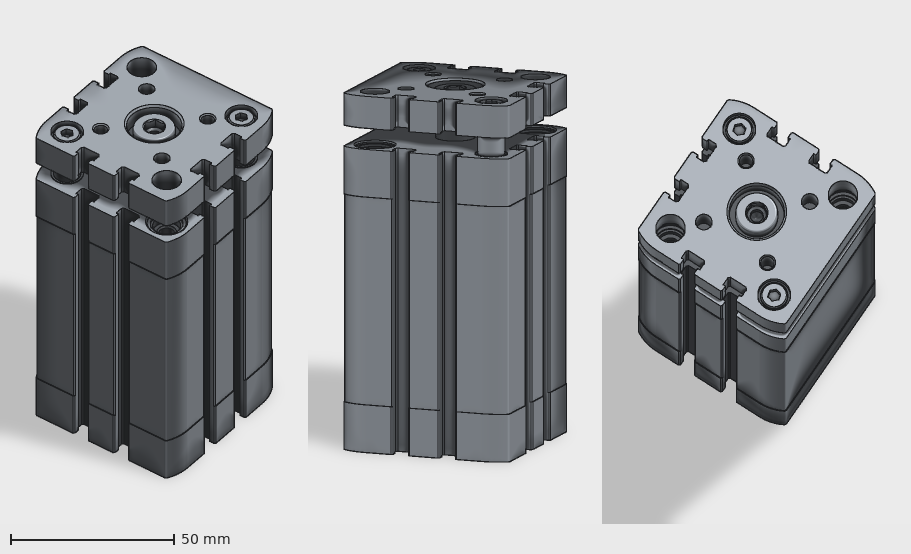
import cadquery as cq
import math

TOTAL_HEIGHT = 111.6
SIDE = 54.5
HALF = SIDE / 2
PLATE_THICKNESS = 10.0
BARREL_HEIGHT = 95.0
CAP_HEIGHT = 15.0
PLATE_BOTTOM = TOTAL_HEIGHT - PLATE_THICKNESS
MIDDLE_INSET = 0.2

BOW_START = 19.1
BOW_RADIUS = 15.4
CORNER_FILLET = 1.0

SLOT_OFFSET = 7.7
SLOT_MOUTH_WIDTH = 5.1
SLOT_INNER_WIDTH = 6.8
SLOT_LIP_DEPTH = 2.1
SLOT_DEPTH = 5.4
SLOT_MOUTH_CHAMFER = 0.5
SLOT_FLOOR_CHAMFER = 0.6
SLOT_SIDE_ANGLES = (0, 90, -90)

CORNER_PITCH = 19.1
ROD_CENTRES = [(CORNER_PITCH, CORNER_PITCH), (-CORNER_PITCH, -CORNER_PITCH)]
MOUNT_CENTRES = [(-CORNER_PITCH, CORNER_PITCH), (CORNER_PITCH, -CORNER_PITCH)]
ROD_DIAMETER = 8.4
ROD_CHAMFER = 0.5
ROD_RECESS_DIAMETER = 10.0
ROD_RECESS_DEPTH = 2.2
ROD_END_DROP = 0.6
ROD_SOCKET_CORNERS = 4.0
ROD_SOCKET_DEPTH = 2.2
ROD_SOCKET_ANGLE = -45
SEAL_DIAMETER = 10.0
SEAL_DEPTH = 0.2
ROD_INSERTION = CAP_HEIGHT

PISTON_ROD_DIAMETER = 12.0
FLATS_WIDTH = 10.0
FLATS_BOTTOM = 97.1
ROD_HEAD_DIAMETER = 13.0
ROD_HEAD_FILLET = 0.7
ROD_HEAD_DROP = 1.1
CENTRE_BORE_DIAMETER = 17.0
CENTRE_BORE_DEPTH = 5.6
CENTRE_BORE_CHAMFER = 0.7
SOCKET_CORNERS = 6.9
SOCKET_DEPTH = 2.9
SOCKET_DRILL_DIAMETER = 4.0
SOCKET_DRILL_DEPTH = 2.2
DRILL_HALF_ANGLE = 60

PLATE_ACCESS_DIAMETER = 9.0
SMALL_PITCH = 11.7
DOWEL_CENTRES = [(-SMALL_PITCH, SMALL_PITCH), (SMALL_PITCH, -SMALL_PITCH)]
THREAD_CENTRES = [(SMALL_PITCH, SMALL_PITCH), (-SMALL_PITCH, -SMALL_PITCH)]
DOWEL_DIAMETER = 5.0
THREAD_DIAMETER = 4.1
THREAD_MOUTH_DIAMETER = 5.0

MOUNT_RECESS_DIAMETER = 12.0
MOUNT_RECESS_DEPTH = 0.9
MOUNT_RECESS_CHAMFER = 0.5
MOUNT_STEP_DIAMETER = 10.0
MOUNT_STEP_DEPTH = 1.7
MOUNT_HEAD_DIAMETER = 8.6
MOUNT_HEAD_DEPTH = 4.2
MOUNT_HOLE_DIAMETER = 4.9
MOUNT_HOLE_CHAMFER = 0.6


def cylinder(diameter, bottom, top, centres):
    """Equal upright cylinders between two heights."""
    return (
        cq.Workplane("XY", origin=(0, 0, bottom))
        .pushPoints(centres)
        .circle(diameter / 2)
        .extrude(top - bottom)
    )


def cone(centre, bottom, bottom_radius, top, top_radius):
    """Upright cone or truncated cone."""
    x, y = centre
    return cq.Workplane(
        cq.Solid.makeCone(bottom_radius, top_radius, top - bottom, cq.Vector(x, y, bottom))
    )


def mouth_chamfer(centre, diameter, size, top):
    """Cutter for a 45 degree chamfer at the upper mouth of a hole."""
    radius = diameter / 2
    return cone(centre, top - size, radius, top, radius + size)


def hex_prism(corners, bottom, top, centre, angle):
    """Upright hexagonal prism, sized across its corners."""
    return (
        cq.Workplane("XY", origin=(*centre, bottom))
        .transformed(rotate=(0, 0, angle))
        .polygon(6, corners)
        .extrude(top - bottom)
    )


def outline_block(bottom, top):
    """Prism of the bowed square outline without slots."""
    centre_x = HALF - BOW_RADIUS
    corner_x = centre_x + math.sqrt(BOW_RADIUS**2 - (HALF - BOW_START) ** 2)
    mid_angle = math.asin((HALF - BOW_START) / BOW_RADIUS) / 2
    mid_x = centre_x + BOW_RADIUS * math.cos(mid_angle)
    mid_y = BOW_START + BOW_RADIUS * math.sin(mid_angle)
    return (
        cq.Workplane("XY", origin=(0, 0, bottom))
        .moveTo(HALF, -BOW_START)
        .lineTo(HALF, BOW_START)
        .threePointArc((mid_x, mid_y), (corner_x, HALF))
        .lineTo(-corner_x, HALF)
        .threePointArc((-mid_x, mid_y), (-HALF, BOW_START))
        .lineTo(-HALF, -BOW_START)
        .threePointArc((-mid_x, -mid_y), (-corner_x, -HALF))
        .lineTo(corner_x, -HALF)
        .threePointArc((mid_x, -mid_y), (HALF, -BOW_START))
        .close()
        .extrude(top - bottom)
        .edges("|Z and (>Y or <Y)")
        .fillet(CORNER_FILLET)
    )


def slot_cutter(bottom, top, surface):
    """T-slots of all slotted sides, with mouth chamfers on a surface at this distance from the axis."""
    mouth = SLOT_MOUTH_WIDTH / 2
    inner = SLOT_INNER_WIDTH / 2
    flare = mouth + SLOT_MOUTH_CHAMFER
    half_profile = [
        (flare, -surface),
        (mouth, -surface + SLOT_MOUTH_CHAMFER),
        (mouth, -HALF + SLOT_LIP_DEPTH),
        (inner, -HALF + SLOT_LIP_DEPTH),
        (inner, -HALF + SLOT_DEPTH - SLOT_FLOOR_CHAMFER),
        (inner - SLOT_FLOOR_CHAMFER, -HALF + SLOT_DEPTH),
    ]
    profile = half_profile + [(-x, y) for x, y in reversed(half_profile)]
    slot = cq.Workplane("XY", origin=(0, 0, bottom)).polyline(profile).close().extrude(top - bottom)
    pair = slot.translate((SLOT_OFFSET, 0, 0)).union(slot.translate((-SLOT_OFFSET, 0, 0)))
    cutter = cq.Workplane("XY")
    for angle in SLOT_SIDE_ANGLES:
        cutter = cutter.union(pair.rotate((0, 0, 0), (0, 0, 1), angle))
    return cutter


def slotted_block(bottom, top):
    """Full-size slotted prism, as used for the plate and the end caps."""
    return outline_block(bottom, top).cut(slot_cutter(bottom, top, HALF))


def slotted_tube(bottom, top):
    """Slotted prism set in from the full-size outline; its slots keep their depth from the axis."""
    outline = outline_block(bottom, top).faces("<Z").wires().val()
    tube = (
        cq.Workplane("XY", origin=(0, 0, bottom))
        .add(outline)
        .toPending()
        .offset2D(-MIDDLE_INSET)
        .extrude(top - bottom)
    )
    return tube.cut(slot_cutter(bottom, top, HALF - MIDDLE_INSET))


def piston_rod():
    """Central rod with two wrench flats, from inside the barrel up into the plate."""
    rod = cylinder(PISTON_ROD_DIAMETER, BARREL_HEIGHT - ROD_INSERTION, PLATE_BOTTOM, [(0, 0)])
    flats = (
        cq.Workplane("XY", origin=(0, 0, FLATS_BOTTOM))
        .rect(PISTON_ROD_DIAMETER, PISTON_ROD_DIAMETER)
        .rect(PISTON_ROD_DIAMETER, FLATS_WIDTH)
        .extrude(PLATE_BOTTOM - FLATS_BOTTOM)
    )
    return rod.cut(flats)


def cut_centre_socket(body, head_top):
    """Hexagon socket with a drilled, cone-bottomed hole in the rod head."""
    slope = math.tan(math.radians(DRILL_HALF_ANGLE))
    inscribed_radius = SOCKET_CORNERS / 2 * math.cos(math.radians(30))
    drill_radius = SOCKET_DRILL_DIAMETER / 2
    socket_bottom = head_top - SOCKET_DEPTH
    floor_bottom = socket_bottom - (inscribed_radius - drill_radius) / slope
    drill_bottom = floor_bottom - SOCKET_DRILL_DEPTH
    lip = SOCKET_CORNERS / 2 - inscribed_radius
    body = body.cut(hex_prism(SOCKET_CORNERS, socket_bottom, head_top, (0, 0), 0))
    body = body.cut(mouth_chamfer((0, 0), 2 * inscribed_radius, lip, head_top))
    body = body.cut(cone((0, 0), floor_bottom, drill_radius, socket_bottom, inscribed_radius))
    body = body.cut(cylinder(SOCKET_DRILL_DIAMETER, drill_bottom, floor_bottom, [(0, 0)]))
    return body.cut(cone((0, 0), drill_bottom - drill_radius / slope, 0, drill_bottom, drill_radius))


def make_carriage():
    """Moving body: slotted end plate, two guide rods and the piston rod."""
    top = TOTAL_HEIGHT
    body = slotted_block(PLATE_BOTTOM, top)

    body = body.cut(cylinder(PLATE_ACCESS_DIAMETER, PLATE_BOTTOM, top, MOUNT_CENTRES))
    body = body.cut(cylinder(DOWEL_DIAMETER, PLATE_BOTTOM, top, DOWEL_CENTRES))
    body = body.cut(cylinder(THREAD_DIAMETER, PLATE_BOTTOM, top, THREAD_CENTRES))
    thread_chamfer = (THREAD_MOUTH_DIAMETER - THREAD_DIAMETER) / 2
    for centre in THREAD_CENTRES:
        body = body.cut(mouth_chamfer(centre, THREAD_DIAMETER, thread_chamfer, top))

    body = body.cut(cylinder(CENTRE_BORE_DIAMETER, top - CENTRE_BORE_DEPTH, top, [(0, 0)]))
    body = body.cut(mouth_chamfer((0, 0), CENTRE_BORE_DIAMETER, CENTRE_BORE_CHAMFER, top))
    body = body.cut(cylinder(ROD_RECESS_DIAMETER, top - ROD_RECESS_DEPTH, top, ROD_CENTRES))

    head_top = top - ROD_HEAD_DROP
    head = cylinder(ROD_HEAD_DIAMETER, top - CENTRE_BORE_DEPTH, head_top, [(0, 0)])
    body = body.union(head.edges(">Z").fillet(ROD_HEAD_FILLET)).union(piston_rod())
    body = cut_centre_socket(body, head_top)

    rod_top = top - ROD_END_DROP
    rods = cylinder(ROD_DIAMETER, BARREL_HEIGHT - ROD_INSERTION, rod_top, ROD_CENTRES)
    body = body.union(rods.faces(">Z").chamfer(ROD_CHAMFER))
    for centre in ROD_CENTRES:
        socket_bottom = rod_top - ROD_SOCKET_DEPTH
        body = body.cut(hex_prism(ROD_SOCKET_CORNERS, socket_bottom, rod_top, centre, ROD_SOCKET_ANGLE))
    return body


def make_barrel():
    """Fixed body: slotted barrel with end caps, rod bores and mounting holes."""
    top = BARREL_HEIGHT
    upper_cap_bottom = top - CAP_HEIGHT
    body = slotted_tube(CAP_HEIGHT, upper_cap_bottom)
    body = body.union(slotted_block(0, CAP_HEIGHT)).union(slotted_block(upper_cap_bottom, top))

    body = body.cut(cylinder(PISTON_ROD_DIAMETER, top - ROD_INSERTION, top, [(0, 0)]))
    body = body.cut(cylinder(ROD_DIAMETER, top - ROD_INSERTION, top, ROD_CENTRES))
    body = body.cut(cylinder(SEAL_DIAMETER, top - SEAL_DEPTH, top, ROD_CENTRES))

    head_seat = top - MOUNT_HEAD_DEPTH
    body = body.cut(cylinder(MOUNT_RECESS_DIAMETER, top - MOUNT_RECESS_DEPTH, top, MOUNT_CENTRES))
    body = body.cut(cylinder(MOUNT_STEP_DIAMETER, top - MOUNT_STEP_DEPTH, top, MOUNT_CENTRES))
    body = body.cut(cylinder(MOUNT_HEAD_DIAMETER, head_seat, top, MOUNT_CENTRES))
    body = body.cut(cylinder(MOUNT_HOLE_DIAMETER, 0, top, MOUNT_CENTRES))
    for centre in MOUNT_CENTRES:
        body = body.cut(mouth_chamfer(centre, MOUNT_RECESS_DIAMETER, MOUNT_RECESS_CHAMFER, top))
        body = body.cut(mouth_chamfer(centre, MOUNT_HOLE_DIAMETER, MOUNT_HOLE_CHAMFER, head_seat))
    return body


carriage = make_carriage()
barrel = make_barrel()

result = cq.Compound.makeCompound([barrel.val(), carriage.val()])